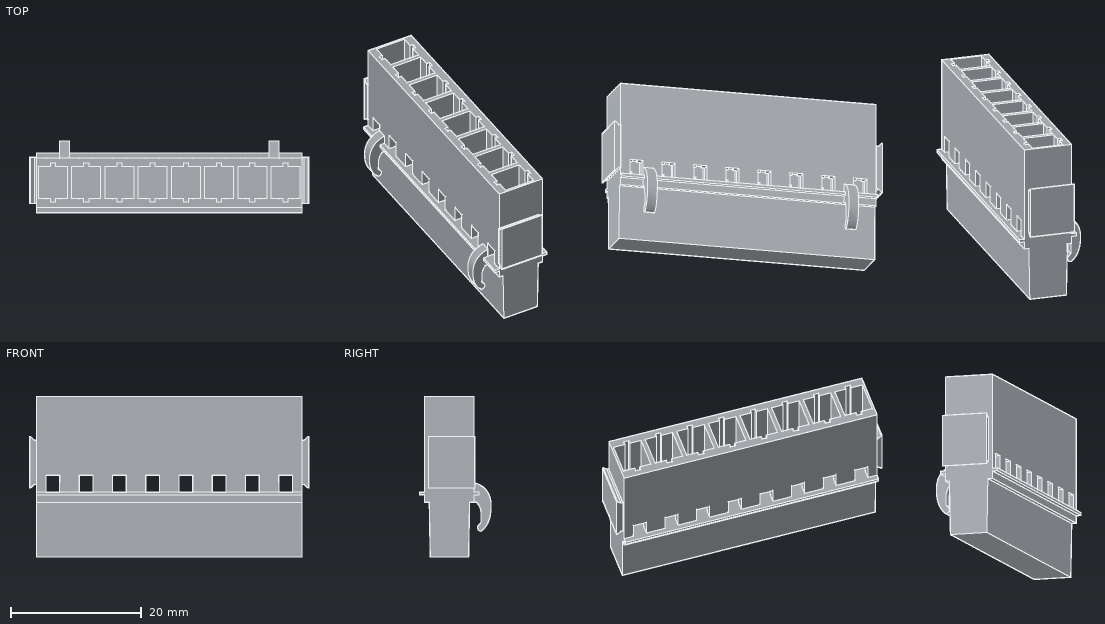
import cadquery as cq

CHAMBER_COUNT = 8
PITCH = 5.08
LENGTH = CHAMBER_COUNT * PITCH

HEIGHT = 24.55
SHOULDER_Z = 8.35
FLANGE_BOTTOM_Z = 9.5
FLANGE_TOP_Z = 9.95

OVERALL_DEPTH = 11.0
DEPTH = 7.6
FRONT_Y = -DEPTH / 2
BACK_Y = DEPTH / 2
FLANGE_OVERHANG = 0.77
NOSE_BACK_INSET = 0.66
NOSE_FRONT_INSET = 0.74
NOSE_DRAFT = 0.15

CHAMBER_LENGTH = 4.42
CHAMBER_DEPTH = 4.9
CHAMBER_CENTRE_Y = 0.05
KEYWAY_WIDTH = 0.8
KEYWAY_DEPTH = 0.52

WINDOW_WIDTH = 2.08
WINDOW_HEIGHT = 2.55

PLATE_THICKNESS = 1.0
PLATE_RIM = 0.15
PLATE_NECK = 0.3
PLATE_FLARE = 0.52
PLATE_BOTTOM_Z = 10.55
PLATE_TOP_Z = 18.4
PLATE_BACK_OVERHANG = 0.12
PLATE_FRONT_INSET = 0.64

HOOK_WIDTH = 1.55
HOOK_SPACING = 32.0
HOOK_REACH = OVERALL_DEPTH - DEPTH - FLANGE_OVERHANG
HOOK_TOP_Z = 11.4
HOOK_WIDEST_Z = 7.8
HOOK_TIP_Z = 3.95
HOOK_TIP_HEIGHT = 0.9
HOOK_TIP_OUTER_REACH = 1.1
HOOK_TIP_INNER_REACH = 0.64
HOOK_ROOT_DIRECTION = (0.96, -0.28)
HOOK_TIP_DIRECTION = (-0.8, -0.6)
HOOK_TIP_BULGE = 0.32
HOOK_THROAT_REACH = 1.05
HOOK_THROAT_Z = 5.28
HOOK_THROAT_TOP_Z = 6.7
HOOK_ROOT_REACH = 0.4


def box_between(x_range, y_range, z_range):
    """Axis-aligned box given by its limits on each axis."""
    size = [high - low for low, high in (x_range, y_range, z_range)]
    return cq.Workplane("XY").box(*size, centered=False).translate((x_range[0], y_range[0], z_range[0]))


def make_housing():
    """Main body, its thin flange and the drafted nose, as one outline swept along X."""
    nose_back_y = BACK_Y - NOSE_BACK_INSET
    nose_front_y = FRONT_Y + NOSE_FRONT_INSET
    nose = [
        (nose_front_y, SHOULDER_Z),
        (nose_front_y + NOSE_DRAFT, 0),
        (nose_back_y - NOSE_DRAFT, 0),
        (nose_back_y, SHOULDER_Z),
    ]
    flange_y = BACK_Y + FLANGE_OVERHANG
    back_side = [
        (BACK_Y, SHOULDER_Z),
        (BACK_Y, FLANGE_BOTTOM_Z),
        (flange_y, FLANGE_BOTTOM_Z),
        (flange_y, FLANGE_TOP_Z),
        (BACK_Y, FLANGE_TOP_Z),
        (BACK_Y, HEIGHT),
    ]
    front_side = [(-y, z) for y, z in reversed(back_side)]
    outline = cq.Workplane("YZ").polyline(nose + back_side + front_side).close()
    return outline.extrude(LENGTH).translate((-LENGTH / 2, 0, 0))


def make_chamber(x):
    """Cut for one contact chamber, with its two keyways and wall windows."""
    z_range = (FLANGE_TOP_Z, HEIGHT)
    half_length = CHAMBER_LENGTH / 2
    half_depth = CHAMBER_DEPTH / 2
    half_key = KEYWAY_WIDTH / 2
    key_reach = half_depth + KEYWAY_DEPTH
    half_window = WINDOW_WIDTH / 2
    pocket = box_between(
        (x - half_length, x + half_length),
        (CHAMBER_CENTRE_Y - half_depth, CHAMBER_CENTRE_Y + half_depth),
        z_range,
    )
    keyways = box_between(
        (x - half_key, x + half_key),
        (CHAMBER_CENTRE_Y - key_reach, CHAMBER_CENTRE_Y + key_reach),
        z_range,
    )
    windows = box_between(
        (x - half_window, x + half_window),
        (FRONT_Y, BACK_Y),
        (FLANGE_TOP_Z, FLANGE_TOP_Z + WINDOW_HEIGHT),
    )
    return pocket.union(keyways).union(windows)


def make_right_plate():
    """Plate on the +X end, flaring outwards at its top and bottom edges."""
    inner_x = LENGTH / 2
    neck_x = inner_x + PLATE_NECK
    outer_x = inner_x + PLATE_THICKNESS
    rim_x = outer_x - PLATE_RIM
    neck_bottom = PLATE_BOTTOM_Z + PLATE_FLARE
    neck_top = PLATE_TOP_Z - PLATE_FLARE
    outline = [
        (inner_x, neck_bottom),
        (neck_x, neck_bottom),
        (rim_x, PLATE_BOTTOM_Z),
        (outer_x, PLATE_BOTTOM_Z),
        (outer_x, PLATE_TOP_Z),
        (rim_x, PLATE_TOP_Z),
        (neck_x, neck_top),
        (inner_x, neck_top),
    ]
    front_y = FRONT_Y + PLATE_FRONT_INSET
    back_y = BACK_Y + PLATE_BACK_OVERHANG
    plate = cq.Workplane("XZ").polyline(outline).close().extrude(front_y - back_y)
    return plate.translate((0, front_y, 0))


def make_hook(x):
    """Curved latch hook rooted on the back wall, ending in a rounded tip."""
    widest = (BACK_Y + HOOK_REACH, HOOK_WIDEST_Z)
    tip_outer = (BACK_Y + HOOK_TIP_OUTER_REACH, HOOK_TIP_Z)
    tip_inner = (BACK_Y + HOOK_TIP_INNER_REACH, HOOK_TIP_Z + HOOK_TIP_HEIGHT)
    throat = (BACK_Y + HOOK_THROAT_REACH, HOOK_THROAT_Z)
    throat_end = (BACK_Y + HOOK_ROOT_REACH, SHOULDER_Z)
    profile = (
        cq.Workplane("YZ")
        .moveTo(*widest)
        .spline([tip_outer], tangents=[(0, -1), HOOK_TIP_DIRECTION], includeCurrent=True)
        .sagittaArc(tip_inner, HOOK_TIP_BULGE)
        .lineTo(*throat)
        .lineTo(throat[0], HOOK_THROAT_TOP_Z)
        .tangentArcPoint(throat_end, relative=False)
        .lineTo(BACK_Y, SHOULDER_Z)
        .lineTo(BACK_Y, HOOK_TOP_Z)
        .spline([widest], tangents=[HOOK_ROOT_DIRECTION, (0, -1)], includeCurrent=True)
        .close()
    )
    return profile.extrude(HOOK_WIDTH).translate((x - HOOK_WIDTH / 2, 0, 0))


result = make_housing()
for index in range(CHAMBER_COUNT):
    result = result.cut(make_chamber((index - (CHAMBER_COUNT - 1) / 2) * PITCH))

right_plate = make_right_plate()
result = result.union(right_plate).union(right_plate.mirror("YZ"))

for hook_x in (-HOOK_SPACING / 2, HOOK_SPACING / 2):
    result = result.union(make_hook(hook_x))